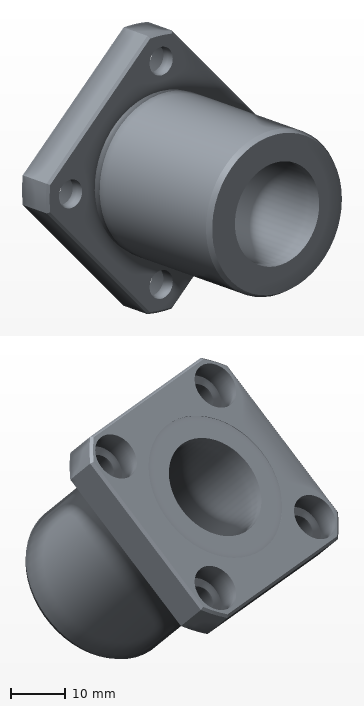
import cadquery as cq

total_length = 42.0
bore_diameter = 20.0

flange_thickness = 8.0
flange_side = 42.0
flange_corner_diameter = 53.95
flange_chamfer = 0.5

sleeve_diameter = 32.0
end_chamfer_length = 1.1
end_chamfer_height = 0.6

undercut_radius = 1.5
undercut_depth = 0.4
undercut_offset = 0.7

screw_count = 4
screw_circle_diameter = 43.05
screw_hole_diameter = 5.5
counterbore_diameter = 9.0
counterbore_depth = 5.25

seal_diameter = 29.0
seal_recess_depth = 0.1


def rod(diameter, start, end):
    """Solid cylinder on the X axis between two X positions."""
    return cq.Workplane("YZ", origin=(start, 0, 0)).circle(diameter / 2).extrude(end - start)


def make_flange():
    square = (
        cq.Workplane("YZ")
        .rect(flange_side, flange_side)
        .extrude(flange_thickness)
        .rotate((0, 0, 0), (1, 0, 0), 45)
    )
    plate = square.intersect(rod(flange_corner_diameter, 0, flange_thickness))
    return plate.faces("<X or >X").edges().chamfer(flange_chamfer)


def make_sleeve():
    sleeve_radius = sleeve_diameter / 2
    sleeve = (
        cq.Workplane("XY")
        .moveTo(0, 0)
        .lineTo(0, sleeve_radius)
        .lineTo(total_length - end_chamfer_length, sleeve_radius)
        .lineTo(total_length, sleeve_radius - end_chamfer_height)
        .lineTo(total_length, 0)
        .close()
        .revolve(360, (0, 0, 0), (1, 0, 0))
    )
    undercut_centre_radius = sleeve_radius - undercut_depth + undercut_radius
    undercut = cq.Workplane(
        cq.Solid.makeTorus(
            undercut_centre_radius,
            undercut_radius,
            cq.Vector(flange_thickness + undercut_offset, 0, 0),
            cq.Vector(1, 0, 0),
        )
    )
    return sleeve.cut(undercut)


def screw_pattern(diameter, depth):
    """Cylinders entering the flange front face at every screw position."""
    return (
        cq.Workplane("YZ")
        .polarArray(screw_circle_diameter / 2, 0, 360, screw_count)
        .circle(diameter / 2)
        .extrude(depth)
    )


result = (
    make_flange()
    .union(make_sleeve())
    .cut(rod(seal_diameter, 0, seal_recess_depth))
    .cut(rod(bore_diameter, 0, total_length))
    .cut(screw_pattern(screw_hole_diameter, flange_thickness))
    .cut(screw_pattern(counterbore_diameter, counterbore_depth))
)